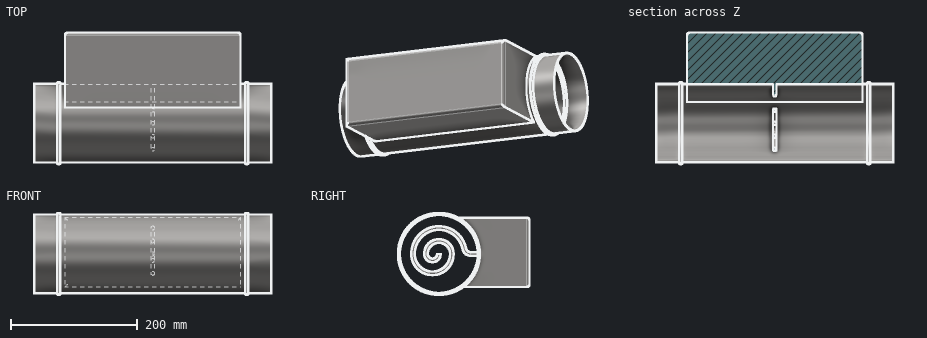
import cadquery as cq
import math

duct_length = 375.0
duct_radius = 62.5
wall = 1.0

bead_radius = 3.0
bead_offset = 39.0

box_length = 278.0
box_height = 110.0
box_middle_z = 2.5
box_back_y = 143.5
box_edge_radius = 5.0

rod_diameter = 6.0
spiral_step = 10.25
lead_bend_radius = 10.0
lead_end_y = duct_radius + rod_diameter


def revolved_skin(inset):
    """Solid bounded by the beaded duct skin moved inward by `inset`."""
    half_length = duct_length / 2
    bead_x = half_length - bead_offset
    bead_centre_r = duct_radius - wall / 2
    arc_radius = bead_radius - inset
    skin_r = duct_radius - inset
    crest_r = bead_centre_r + arc_radius
    half_width = math.sqrt(arc_radius ** 2 - (skin_r - bead_centre_r) ** 2)

    profile = cq.Workplane("XZ").moveTo(-half_length, 0).lineTo(-half_length, skin_r)
    for x in (-bead_x, bead_x):
        profile = profile.lineTo(x - half_width, skin_r)
        profile = profile.threePointArc((x, crest_r), (x + half_width, skin_r))
    profile = profile.lineTo(half_length, skin_r).lineTo(half_length, 0).close()
    return profile.revolve(360, (0, 0, 0), (1, 0, 0))


def connection_box():
    """Solid box with a rounded back rim, from the duct axis plane to its back face."""
    box = cq.Workplane("XY").box(box_length, box_back_y, box_height, centered=(True, False, True))
    box = box.faces(">Y").edges().fillet(box_edge_radius)
    return box.translate((0, 0, box_middle_z))


def heating_rod():
    """Round rod wound as half turns of growing radius, then led straight into the box."""
    r1, r2, r3, r4 = (spiral_step * turn for turn in (1, 2, 3, 4))
    bend_z = lead_bend_radius
    centre_distance = r4 + lead_bend_radius
    bend_y = math.sqrt(centre_distance ** 2 - bend_z ** 2)
    touch_y = bend_y * r4 / centre_distance
    touch_z = bend_z * r4 / centre_distance
    touch_angle = math.atan2(touch_z - bend_z, touch_y - bend_y) + 2 * math.pi
    mid_angle = (touch_angle + 1.5 * math.pi) / 2
    bend_mid = (bend_y + lead_bend_radius * math.cos(mid_angle),
                bend_z + lead_bend_radius * math.sin(mid_angle))

    path = (
        cq.Workplane("YZ")
        .moveTo(0, 0)
        .threePointArc((-r1, -r1), (-r2, 0))
        .threePointArc((0, r2), (r2, 0))
        .threePointArc((-r1, -r3), (-r4, 0))
        .threePointArc((0, r4), (touch_y, touch_z))
        .threePointArc(bend_mid, (bend_y, 0))
        .lineTo(lead_end_y, 0)
    )
    return cq.Workplane("XY").circle(rod_diameter / 2).sweep(path)


shell = revolved_skin(0).union(connection_box()).cut(revolved_skin(wall))
result = shell.union(heating_rod())